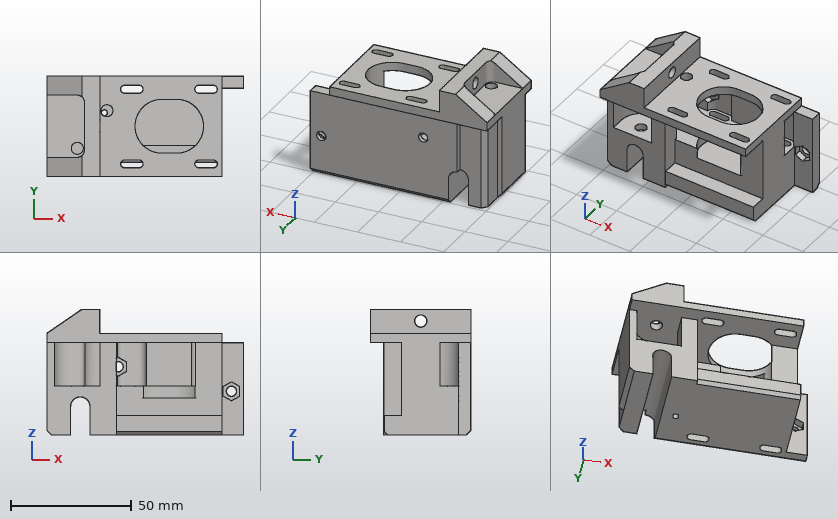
import cadquery as cq
import math

overall_length = 82.0
overall_width = 42.0
overall_height = 52.5

cavity_floor = 20.5
plate_bottom = 38.5
plate_thickness = 3.9
plate_top = plate_bottom + plate_thickness
plate_length = 73.0
cavity_height = plate_bottom - cavity_floor

wall_back = -0.1
wall_front = -5.25
wall_bevel = 2.0

block_length = 28.95
block_front = -36.5
block_back = -2.7
block_bevel = 2.1
rear_front = -14.1
block_step = 2.05
left_wall = 3.1
post_left = 22.1
post_back = -27.9

arch_x = 13.9
arch_radius = 3.98
arch_top = 15.9

pin_diameter = 5.0
front_pivot = (12.7, -30.2)
back_pivot = (25.0, -14.5)
front_pivot_radius = front_pivot[0] - left_wall
back_pivot_radius = 9.7
neck_radius = 3.2
neck_reach = 3.1
pin_depth = 3.0
drain_diameter = 2.5
drain_center = (23.95, -15.4)

bed_front = -29.1
rail_front = -36.1
rail_height = 8.2
rail_bevel = 1.5

opening_center = (51.0, -overall_width / 2)
opening_radius = 11.2
opening_straight = 6.1
recess_floor = 15.5
bed_post_left = 61.9

slot_x = (35.4, 66.3)
slot_width = 3.2
slot_length = 9.3
back_slot_y = -5.6
front_slot_y = -36.65
head_width = 6.0
head_length = slot_length + head_width - slot_width

bolt_diameter = 4.2
nut_corner_diameter = 7.95
nut_depth = 3.0
bolt_places = ((29.7, 28.5), (76.9, 18.3))

bracket_length = 22.1
bracket_slope_length = 14.6
bracket_pocket_length = 15.7
bracket_pocket_width = 25.9
bracket_pocket_radius = 2.95
bracket_hole_diameter = 5.0
bracket_hole_z = 47.6


def box(x0, x1, y0, y1, z0, z1):
    """Box between two opposite corners."""
    return cq.Workplane("XY").box(x1 - x0, y1 - y0, z1 - z0, centered=False).translate((x0, y0, z0))


def cylinder(center, diameter, z0, z1):
    """Upright cylinder."""
    return cq.Workplane("XY", origin=(*center, z0)).circle(diameter / 2).extrude(z1 - z0)


def oval(center, length, width, z0, z1):
    """Upright prism with round ends, its long side along X."""
    return cq.Workplane("XY", origin=(*center, z0)).slot2D(length, width).extrude(z1 - z0)


def extrude_from_end(points, x0, x1):
    """Prism along X with a profile of (Y, Z) points."""
    return cq.Workplane("YZ", origin=(x0, 0, 0)).polyline(points).close().extrude(x1 - x0)


def make_back_wall():
    profile = [
        (wall_front, 0),
        (wall_back - wall_bevel, 0),
        (wall_back, wall_bevel),
        (wall_back, plate_bottom),
        (wall_front, plate_bottom),
    ]
    return extrude_from_end(profile, arch_x, overall_length)


def make_left_block():
    """Front part with a bevelled lower edge, and a rear part set in from the left end."""
    rear = (
        cq.Workplane("XY")
        .moveTo(block_step, rear_front)
        .lineTo(block_length, rear_front)
        .lineTo(block_length, block_back)
        .lineTo(block_step + block_bevel, block_back)
        .lineTo(block_step, block_back - block_bevel)
        .close()
        .extrude(plate_bottom)
    )
    front_profile = [
        (0, block_step),
        (block_step, 0),
        (block_length, 0),
        (block_length, plate_bottom),
        (0, plate_bottom),
    ]
    front = (
        cq.Workplane("XZ", origin=(0, rear_front, 0))
        .polyline(front_profile)
        .close()
        .extrude(rear_front - block_front)
    )
    return rear.union(front).cut(make_lever_cavity())


def make_lever_cavity():
    """Room above the cavity floor that swings around both pivots and opens to the front and right."""
    front_x, front_y = front_pivot
    back_x, back_y = back_pivot
    neck_x = front_x + neck_reach
    neck_y = back_y - math.sqrt(back_pivot_radius**2 - (back_x - neck_x) ** 2)
    back_arc_back = back_y + back_pivot_radius
    front_arc_back = front_y + front_pivot_radius
    return (
        cq.Workplane("XY", origin=(0, 0, cavity_floor))
        .moveTo(left_wall, block_front)
        .lineTo(left_wall, front_y)
        .radiusArc((front_x, front_arc_back), front_pivot_radius)
        .radiusArc((neck_x, neck_y), -neck_radius)
        .radiusArc((back_x, back_arc_back), back_pivot_radius)
        .lineTo(block_length, back_arc_back)
        .lineTo(block_length, post_back)
        .lineTo(post_left, post_back)
        .lineTo(post_left, block_front)
        .close()
        .extrude(cavity_height)
    )


def make_bed():
    bed = box(block_length, plate_length, bed_front, wall_front, 0, cavity_floor)
    rail_profile = [
        (bed_front, 0),
        (rail_front + rail_bevel, 0),
        (rail_front, rail_bevel),
        (rail_front, rail_height),
        (bed_front, rail_height),
    ]
    rail = extrude_from_end(rail_profile, block_length, plate_length)
    post_back_face = -overall_width - bed_front
    post = box(bed_post_left, plate_length, bed_front, post_back_face, cavity_floor, plate_bottom)
    return bed.union(rail).union(post)


def make_bracket():
    slope = (
        cq.Workplane("XZ")
        .polyline([
            (0, plate_top),
            (bracket_length, plate_top),
            (bracket_length, overall_height),
            (bracket_slope_length, overall_height),
        ])
        .close()
        .extrude(overall_width)
    )
    pocket_side = (overall_width - bracket_pocket_width) / 2
    pocket = box(0, bracket_pocket_length, pocket_side - overall_width, -pocket_side, plate_top, overall_height)
    pocket = pocket.edges("|Z and >X").fillet(bracket_pocket_radius)
    hole = (
        cq.Workplane("YZ", origin=(0, -overall_width / 2, bracket_hole_z))
        .circle(bracket_hole_diameter / 2)
        .extrude(bracket_length)
    )
    return slope.cut(pocket).cut(hole)


def cut_arch(body):
    spring_height = arch_top - arch_radius
    arch = (
        cq.Workplane("XZ")
        .moveTo(arch_x - arch_radius, 0)
        .lineTo(arch_x - arch_radius, spring_height)
        .threePointArc((arch_x, arch_top), (arch_x + arch_radius, spring_height))
        .lineTo(arch_x + arch_radius, 0)
        .close()
        .extrude(overall_width)
    )
    return body.cut(arch)


def cut_opening(body):
    width = 2 * opening_radius
    return body.cut(oval(opening_center, opening_straight + width, width, recess_floor, plate_top))


def cut_slots(body):
    for x in slot_x:
        body = body.cut(oval((x, back_slot_y), slot_length, slot_width, 0, plate_top))
        body = body.cut(oval((x, back_slot_y), head_length, head_width, cavity_floor, plate_bottom))
        body = body.cut(oval((x, front_slot_y), slot_length, slot_width, plate_bottom, plate_top))
    return body


def cut_pivots(body):
    body = body.cut(cylinder(front_pivot, pin_diameter, cavity_floor - pin_depth, cavity_floor))
    for pivot in (front_pivot, back_pivot):
        body = body.cut(cylinder(pivot, pin_diameter, plate_bottom, plate_top))
    return body.cut(cylinder(drain_center, drain_diameter, 0, cavity_floor))


def cut_bolts(body):
    for x, z in bolt_places:
        face = cq.Workplane("XZ", origin=(x, wall_front, z))
        body = body.cut(face.circle(bolt_diameter / 2).extrude(wall_front))
        nut = face.polygon(6, nut_corner_diameter).extrude(-nut_depth)
        body = body.cut(nut.rotate((x, 0, z), (x, 1, z), 90))
    return body


plate = box(0, plate_length, -overall_width, 0, plate_bottom, plate_top)

result = make_left_block()
for piece in (make_back_wall(), make_bed(), plate, make_bracket()):
    result = result.union(piece)
for cut in (cut_arch, cut_opening, cut_slots, cut_pivots, cut_bolts):
    result = cut(result)